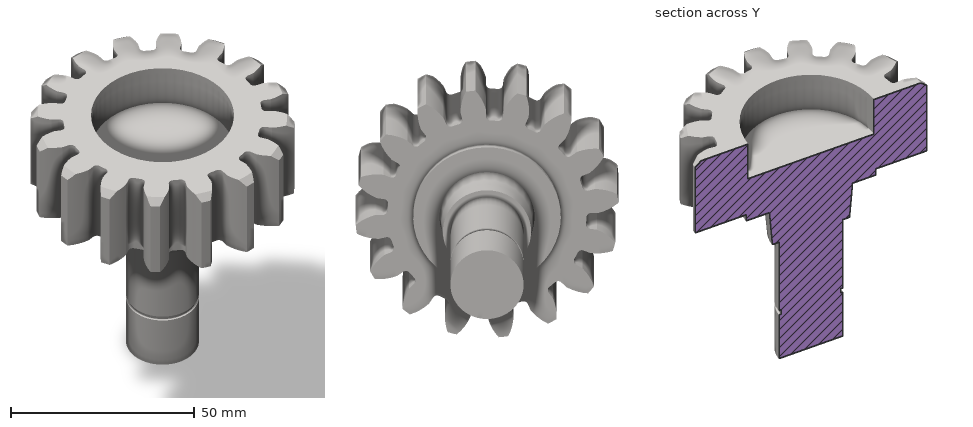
import cadquery as cq
import math

total_height = 81.6
gear_bottom_z = 56.1
collar_bottom_z = 53.9
taper_bottom_z = 42.0

shaft_diameter = 20.0
taper_bottom_diameter = 24.1
taper_top_diameter = 25.95
collar_diameter = 40.3

groove_diameter = 18.8
groove_bottom_z = 16.0
groove_width = 1.4

tooth_count = 16
outer_radius = 36.0
root_radius = 27.2
tip_half_width = 1.3
flank_half_width = 2.85
flank_height = 32.9
widest_half_width = 3.5
widest_height = 30.2
neck_half_width = 3.3
root_fillet_radius = 1.3
tip_chamfer_radial = 1.95
tip_chamfer_axial = 1.7

pocket_diameter = 39.0
pocket_depth = 12.5

gear_height = total_height - gear_bottom_z


def make_shaft():
    """Revolve the grooved shaft with its taper and collar about Z."""
    shaft_radius = shaft_diameter / 2
    groove_radius = groove_diameter / 2
    groove_top_z = groove_bottom_z + groove_width
    collar_radius = collar_diameter / 2
    profile = [
        (0, 0),
        (shaft_radius, 0),
        (shaft_radius, groove_bottom_z),
        (groove_radius, groove_bottom_z),
        (groove_radius, groove_top_z),
        (shaft_radius, groove_top_z),
        (shaft_radius, taper_bottom_z),
        (taper_bottom_diameter / 2, taper_bottom_z),
        (taper_top_diameter / 2, collar_bottom_z),
        (collar_radius, collar_bottom_z),
        (collar_radius, gear_bottom_z),
        (0, gear_bottom_z),
    ]
    return cq.Workplane("XZ").polyline(profile).close().revolve(360, (0, 0), (0, 1))


def polar(radius, angle):
    """Point at a radius, turned by an angle from the +Y axis toward +X."""
    return radius * math.sin(angle), radius * math.cos(angle)


def turned(point, angle):
    """Rotate a point about the gear axis, from +Y toward +X."""
    x, y = point
    return polar(math.hypot(x, y), math.atan2(x, y) + angle)


def make_gear_blank():
    """Extrude the toothed outline, one tooth and the gap after it at a time."""
    pitch_angle = 2 * math.pi / tooth_count
    tip = (tip_half_width, math.sqrt(outer_radius**2 - tip_half_width**2))
    flank = (flank_half_width, flank_height)
    widest = (widest_half_width, widest_height)

    fillet_centre_radius = root_radius + root_fillet_radius
    fillet_x = neck_half_width + root_fillet_radius
    fillet_y = math.sqrt(fillet_centre_radius**2 - fillet_x**2)
    fillet_angle = math.asin(fillet_x / fillet_centre_radius)
    neck = (neck_half_width, fillet_y)
    root = polar(root_radius, fillet_angle)
    toward_neck = math.pi * 3 / 2
    toward_root = math.pi + fillet_angle
    middle_angle = (toward_neck + toward_root) / 2
    middle_dx, middle_dy = polar(root_fillet_radius, middle_angle)
    fillet_middle = (fillet_x + middle_dx, fillet_y + middle_dy)

    def mirrored(point):
        return -point[0], point[1]

    outline = cq.Workplane("XY").workplane(offset=gear_bottom_z).moveTo(*mirrored(tip))
    for tooth in range(tooth_count):
        angle = tooth * pitch_angle
        following = angle + pitch_angle
        outline = (
            outline.threePointArc(polar(outer_radius, angle), turned(tip, angle))
            .threePointArc(turned(flank, angle), turned(widest, angle))
            .lineTo(*turned(neck, angle))
            .threePointArc(turned(fillet_middle, angle), turned(root, angle))
            .threePointArc(
                polar(root_radius, angle + pitch_angle / 2),
                turned(mirrored(root), following),
            )
            .threePointArc(
                turned(mirrored(fillet_middle), following),
                turned(mirrored(neck), following),
            )
            .lineTo(*turned(mirrored(widest), following))
            .threePointArc(
                turned(mirrored(flank), following),
                turned(mirrored(tip), following),
            )
        )
    return outline.close().extrude(gear_height)


def chamfer_tooth_tips(gear):
    """Bevel the upper tooth tips by keeping only what lies inside a chamfered disc."""
    envelope = (
        cq.Workplane("XY")
        .workplane(offset=gear_bottom_z)
        .circle(outer_radius)
        .extrude(gear_height)
        .faces(">Z")
        .edges()
        .chamfer(tip_chamfer_axial, tip_chamfer_radial)
    )
    return gear.intersect(envelope)


def make_pocket():
    """Cylinder to remove from the top face of the gear."""
    return (
        cq.Workplane("XY")
        .workplane(offset=total_height - pocket_depth)
        .circle(pocket_diameter / 2)
        .extrude(pocket_depth)
    )


gear = chamfer_tooth_tips(make_gear_blank())
result = make_shaft().union(gear).cut(make_pocket())